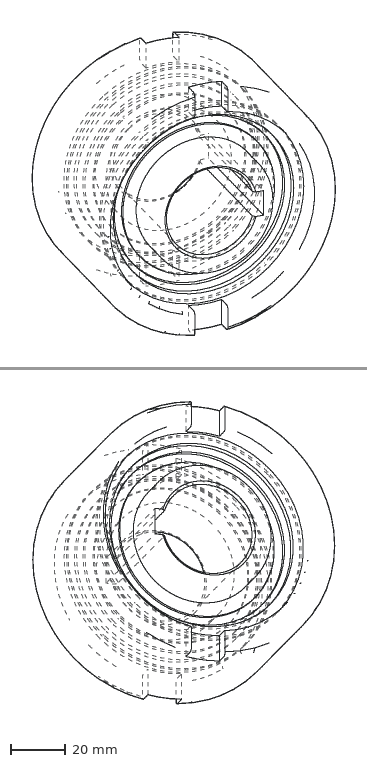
import cadquery as cq

width = 53.0
outer_radius = 50.0
outer_round = 1.4

hub_radius = 25.0
hub_round = 1.3
bore_radius = 17.5
bore_chamfer = 1.0

recess_radius = 40.0
seat_depth = 11.4
lip_radius = 36.0
lip_front = 7.5
lip_back = 10.0
groove_outer_radius = 34.0
groove_inner_radius = 30.3
groove_depth = 13.3
collar_depth = 12.1
recess_round = 1.2

slot_width = 13.2
slot_depth = 6.0

key_width = 10.0
key_reach = 20.8

half_width = width / 2


def tube(outer, inner, start, end):
    """Annular ring around X from x = start to x = end; inner = 0 gives a solid disc."""
    section = cq.Workplane("YZ").workplane(offset=start).circle(outer)
    if inner > 0:
        section = section.circle(inner)
    return section.extrude(end - start)


def recess():
    """Space removed at the -X end: recess, retaining lip and annular groove."""
    face = -half_width
    space = tube(recess_radius, 0, face, face + seat_depth)
    lip = tube(recess_radius, lip_radius, face + lip_front, face + lip_back)
    inner_well = tube(groove_outer_radius, 0, face, face + collar_depth)
    groove = tube(groove_outer_radius, groove_inner_radius, face, face + groove_depth)
    return space.cut(lip).union(inner_well).union(groove)


def ring():
    """Outer body with a recess at both ends and rounded rims."""
    body = tube(outer_radius, 0, -half_width, half_width).edges().fillet(outer_round)
    body = body.cut(recess()).cut(recess().mirror("YZ"))
    for side in ("<X", ">X"):
        mouth = body.faces(side).edges(cq.selectors.RadiusNthSelector(0))
        body = mouth.fillet(recess_round)
    return body


def hub():
    """Central sleeve, flush with the end faces."""
    return tube(hub_radius, 0, -half_width, half_width).edges().fillet(hub_round)


def bore():
    """Through bore with a chamfer at each mouth."""
    mouth_radius = bore_radius + bore_chamfer
    profile = [
        (-half_width, 0),
        (-half_width, mouth_radius),
        (-half_width + bore_chamfer, bore_radius),
        (half_width - bore_chamfer, bore_radius),
        (half_width, mouth_radius),
        (half_width, 0),
    ]
    return cq.Workplane("XY").polyline(profile).close().revolve(360, (0, 0), (1, 0))


def keyway():
    """Keyway on the +Y side of the bore, running the full width."""
    return cq.Workplane("XY").box(width, key_reach, key_width).translate((0, key_reach / 2, 0))


def driving_slots():
    """Slot across each end face, cutting the rim at +Z and -Z."""
    slots = cq.Workplane("XY")
    for side in (-1, 1):
        center_x = side * (half_width - slot_depth / 2)
        slot = cq.Workplane("XY").box(slot_depth, slot_width, 2 * outer_radius)
        slots = slots.add(slot.translate((center_x, 0, 0)))
    return slots.combine()


result = ring().cut(driving_slots()).union(hub()).cut(bore()).cut(keyway())